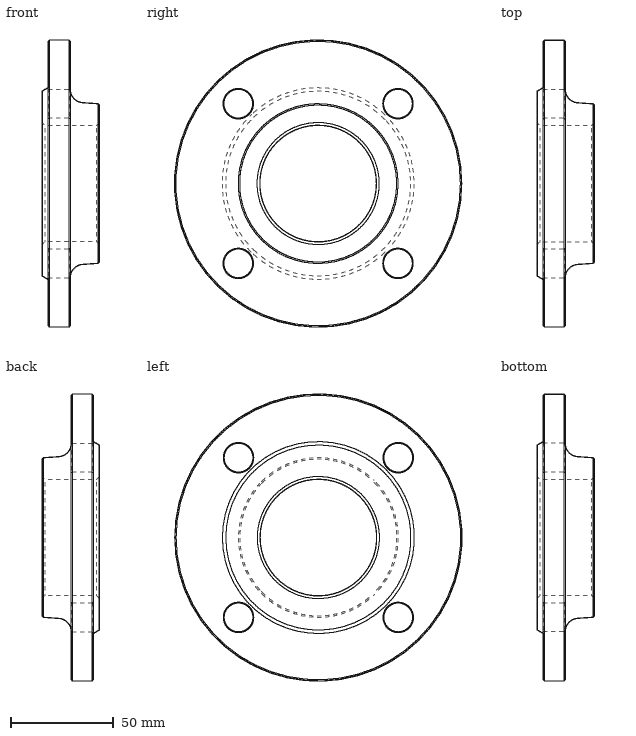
import cadquery as cq
import math

length = 28.0
flange_radius = 70.0
bore_radius = 56.7 / 2
bore_chamfer = 1.4

face_height = 3.0
face_radius = 45.1
face_base_radius = 46.8

flange_back = 13.9
rim_chamfer = 0.7

fillet_radius = 6.3
hub_taper = math.radians(4)
hub_root_radius = 39.5
hub_chamfer = 0.7

bolt_circle_radius = 55.0
bolt_hole_diameter = 14.0
bolt_hole_chamfer = 0.4
bolt_count = 4
first_bolt_angle = 45


def arc_point(center_x, center_radius, angle):
    """Point on the hub fillet; the angle runs from the flange towards the hub."""
    return (
        center_x - fillet_radius * math.cos(angle),
        center_radius - fillet_radius * math.sin(angle),
    )


def make_body():
    sweep = math.pi / 2 - hub_taper
    center_x = flange_back + fillet_radius
    center_radius = hub_root_radius + fillet_radius * math.sin(sweep)
    fillet_start = (flange_back, center_radius)
    fillet_middle = arc_point(center_x, center_radius, sweep / 2)
    fillet_end = arc_point(center_x, center_radius, sweep)

    chamfer_start = length - hub_chamfer
    hub_end_radius = hub_root_radius - (chamfer_start - fillet_end[0]) * math.tan(hub_taper)

    profile = (
        cq.Workplane("XY")
        .moveTo(0, bore_radius + bore_chamfer)
        .lineTo(0, face_radius)
        .lineTo(face_height, face_base_radius)
        .lineTo(face_height, flange_radius - rim_chamfer)
        .lineTo(face_height + rim_chamfer, flange_radius)
        .lineTo(flange_back - rim_chamfer, flange_radius)
        .lineTo(flange_back, flange_radius - rim_chamfer)
        .lineTo(*fillet_start)
        .threePointArc(fillet_middle, fillet_end)
        .lineTo(chamfer_start, hub_end_radius)
        .lineTo(length, hub_end_radius - hub_chamfer)
        .lineTo(length, bore_radius + bore_chamfer)
        .lineTo(length - bore_chamfer, bore_radius)
        .lineTo(bore_chamfer, bore_radius)
        .close()
    )
    return profile.revolve(360, (0, 0, 0), (1, 0, 0))


def make_bolt_hole_cutter():
    """Bolt hole along X with a countersunk edge on both flange faces."""
    radius = bolt_hole_diameter / 2
    mouth_radius = radius + bolt_hole_chamfer
    return (
        cq.Workplane("XY")
        .moveTo(face_height, 0)
        .lineTo(face_height, mouth_radius)
        .lineTo(face_height + bolt_hole_chamfer, radius)
        .lineTo(flange_back - bolt_hole_chamfer, radius)
        .lineTo(flange_back, mouth_radius)
        .lineTo(flange_back, 0)
        .close()
        .revolve(360, (0, 0, 0), (1, 0, 0))
        .translate((0, bolt_circle_radius, 0))
    )


result = make_body()
for index in range(bolt_count):
    angle = first_bolt_angle + index * 360 / bolt_count
    result = result.cut(make_bolt_hole_cutter().rotate((0, 0, 0), (1, 0, 0), angle))